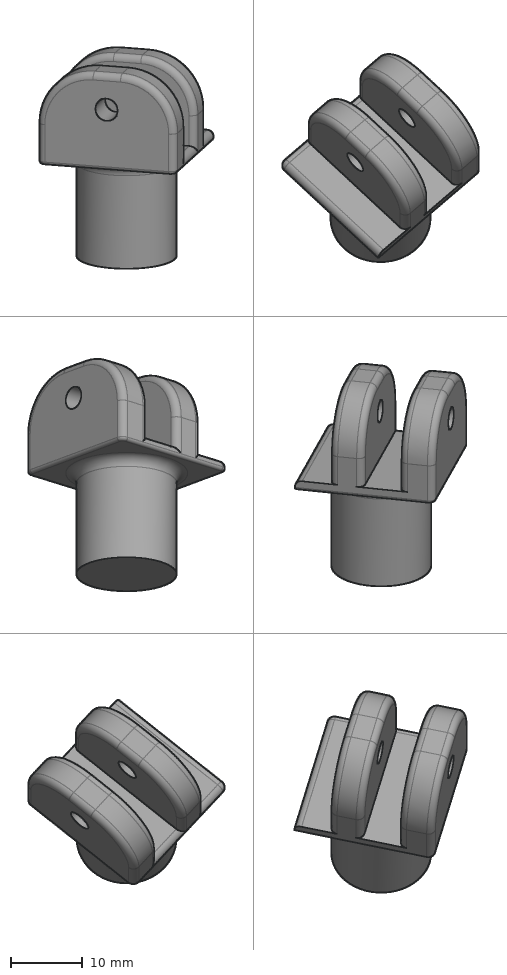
import cadquery as cq

width = 20.0
height = 28.9
half_width = width / 2

stem_radius = 7.0
stem_blend_radius = 1.5

plate_bottom = 15.0
plate_thickness = 1.5
plate_bottom_round = 0.5
edge_round = 1.0

front_lug_y = -half_width
front_lug_thickness = 4.9
rear_lug_y = 0.15
rear_lug_thickness = 4.75
lug_corner_radius = 8.0
lug_bottom = plate_bottom + plate_bottom_round

hole_diameter = 3.2
hole_height = 23.7


def plate_blank():
    """Square slab with sharp edges, at the height of the plate."""
    slab = cq.Workplane("XY").box(width, width, plate_thickness, centered=(True, True, False))
    return slab.translate((0, 0, plate_bottom))


def make_plate():
    """Square plate: sharp at the left top edge and rear-left corner, rounded elsewhere."""
    lower_shape = plate_blank().edges("|Z and (<Y or >X)").fillet(edge_round)
    lower_shape = lower_shape.faces("<Z").edges().fillet(plate_bottom_round)
    upper_shape = plate_blank().edges("|Z and >X and >Y").fillet(edge_round)
    upper_shape = upper_shape.faces(">Z").edges(">X or >Y").fillet(edge_round)
    return lower_shape.intersect(upper_shape)


def make_lug(front_y, thickness):
    """Upright lug with large top corners and rounded front and back rims."""
    lug_height = height - lug_bottom
    lug = cq.Workplane("XY").box(width, thickness, lug_height, centered=(True, False, False))
    lug = lug.translate((0, front_y, lug_bottom))
    lug = lug.edges("|Y and >Z").fillet(lug_corner_radius)
    rims = lug.faces("<Y or >Y").edges("not <Z")
    return rims.fillet(edge_round)


def make_stem():
    """Round stem that flares with a concave blend under the plate."""
    blend_start = plate_bottom - stem_blend_radius
    blend_outer = stem_radius + stem_blend_radius
    blend_middle_offset = stem_blend_radius * (1 - 0.5**0.5)
    profile = (
        cq.Workplane("XZ")
        .lineTo(stem_radius, 0)
        .lineTo(stem_radius, blend_start)
        .threePointArc(
            (stem_radius + blend_middle_offset, plate_bottom - blend_middle_offset),
            (blend_outer, plate_bottom),
        )
        .lineTo(0, plate_bottom)
        .close()
    )
    return profile.revolve(360, (0, 0, 0), (0, 1, 0))


body = make_stem().union(make_plate())
body = body.union(make_lug(front_lug_y, front_lug_thickness))
body = body.union(make_lug(rear_lug_y, rear_lug_thickness))

pin_hole = (
    cq.Workplane("XZ")
    .center(0, hole_height)
    .circle(hole_diameter / 2)
    .extrude(half_width, both=True)
)
result = body.cut(pin_hole)